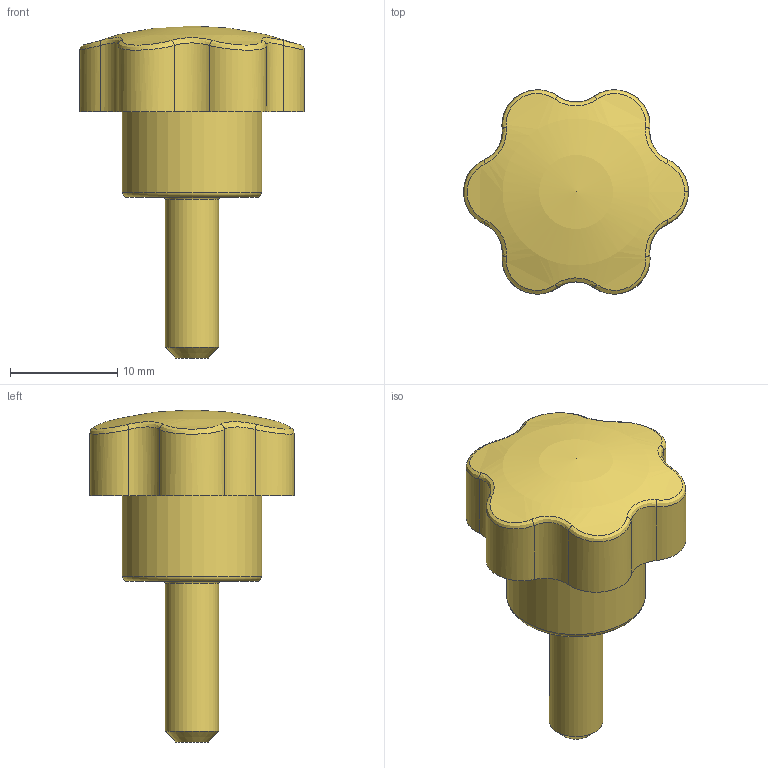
import cadquery as cq
import math

STUD_DIAMETER = 5.0
STUD_LENGTH = 15.0
STUD_TIP_DIAMETER = 3.0
STUD_TIP_HEIGHT = 1.0
STUD_ROOT_FILLET = 0.2

HUB_DIAMETER = 13.0
HUB_HEIGHT = 8.0
HUB_EDGE_FILLET = 0.5

LOBE_COUNT = 6
HEAD_DIAMETER = 21.0
HEAD_HEIGHT = 8.0
LOBE_RADIUS = 3.334
VALLEY_RADIUS = 2.86
DOME_RADIUS = 29.9
DOME_EDGE_FILLET = 0.5

HEAD_BASE_Z = STUD_LENGTH + HUB_HEIGHT
TOTAL_HEIGHT = HEAD_BASE_Z + HEAD_HEIGHT

LOBE_STEP = 2 * math.pi / LOBE_COUNT
HALF_STEP = LOBE_STEP / 2
LOBE_CENTER_DISTANCE = HEAD_DIAMETER / 2 - LOBE_RADIUS
RADIUS_SUM = LOBE_RADIUS + VALLEY_RADIUS
VALLEY_CENTER_DISTANCE = LOBE_CENTER_DISTANCE * math.cos(HALF_STEP) + math.sqrt(
    RADIUS_SUM**2 - (LOBE_CENTER_DISTANCE * math.sin(HALF_STEP)) ** 2
)


def polar(distance, angle):
    """Point at the given distance and angle from the knob axis."""
    return (distance * math.cos(angle), distance * math.sin(angle))


def tangent_point(lobe_angle, valley_angle):
    """Point where a lobe arc runs smoothly into the neighboring valley arc."""
    lobe_x, lobe_y = polar(LOBE_CENTER_DISTANCE, lobe_angle)
    valley_x, valley_y = polar(VALLEY_CENTER_DISTANCE, valley_angle)
    share = LOBE_RADIUS / RADIUS_SUM
    return (lobe_x + share * (valley_x - lobe_x), lobe_y + share * (valley_y - lobe_y))


def lobed_prism():
    """Straight-sided head blank with alternating lobes and valleys."""
    outline = cq.Workplane("XY", origin=(0, 0, HEAD_BASE_Z)).moveTo(*tangent_point(0, -HALF_STEP))
    for index in range(LOBE_COUNT):
        lobe_angle = index * LOBE_STEP
        valley_angle = lobe_angle + HALF_STEP
        lobe_crest = polar(HEAD_DIAMETER / 2, lobe_angle)
        lobe_end = tangent_point(lobe_angle, valley_angle)
        valley_floor = polar(VALLEY_CENTER_DISTANCE - VALLEY_RADIUS, valley_angle)
        valley_end = tangent_point(lobe_angle + LOBE_STEP, valley_angle)
        outline = outline.threePointArc(lobe_crest, lobe_end)
        outline = outline.threePointArc(valley_floor, valley_end)
    return outline.close().extrude(HEAD_HEIGHT)


def make_head():
    """Lobed head trimmed by a sphere and rounded along the dome edge."""
    dome = cq.Workplane("XY").sphere(DOME_RADIUS).translate((0, 0, TOTAL_HEIGHT - DOME_RADIUS))
    head = lobed_prism().intersect(dome)
    return head.faces(">Z").edges().fillet(DOME_EDGE_FILLET)


def make_hub():
    """Hub cylinder with a rounded lower edge."""
    hub = cq.Workplane("XY", origin=(0, 0, STUD_LENGTH)).circle(HUB_DIAMETER / 2).extrude(HUB_HEIGHT)
    return hub.faces("<Z").edges().fillet(HUB_EDGE_FILLET)


def make_stud():
    """Revolved stud with a conical tip and a concave fillet flaring into the hub."""
    stud_radius = STUD_DIAMETER / 2
    diagonal = STUD_ROOT_FILLET * math.sqrt(0.5)
    flare_radius = stud_radius + STUD_ROOT_FILLET
    fillet_start_z = STUD_LENGTH - STUD_ROOT_FILLET
    profile = (
        cq.Workplane("XZ")
        .lineTo(STUD_TIP_DIAMETER / 2, 0)
        .lineTo(stud_radius, STUD_TIP_HEIGHT)
        .lineTo(stud_radius, fillet_start_z)
        .threePointArc((flare_radius - diagonal, fillet_start_z + diagonal), (flare_radius, STUD_LENGTH))
        .lineTo(flare_radius, HEAD_BASE_Z)
        .lineTo(0, HEAD_BASE_Z)
        .close()
    )
    return profile.revolve(360, (0, 0, 0), (0, 1, 0))


result = make_head().union(make_hub()).union(make_stud())